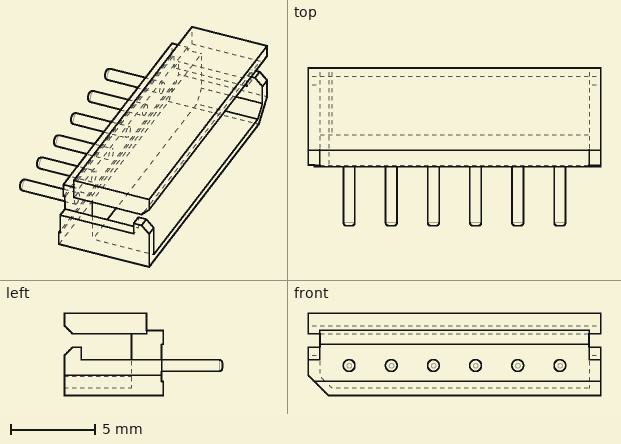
import cadquery as cq

length = 17.4
height = 4.9
pin_reach = 3.51
depth = 5.88
corner_cut = 1.22

end_width = 0.7
rail_top = 2.14
lip_top = 2.89
lip_depth = 1.01
mouth_chamfer = 0.49

bar_bottom = 3.67
bar_depth = 4.89
wall_top = 3.88
wall_depth = 1.9
pocket_floor = 0.47
pocket_corner = 0.7

relief_depth = 0.1
relief_bottom = 0.85
relief_top = 3.05

pin_count = 6
pin_pitch = 2.5
pin_diameter = 0.7
pin_height = 1.8
pin_tip_radius = 0.21


def box_between(x_range, y_range, z_range):
    """Box spanning the given (low, high) ranges."""
    sizes = [high - low for low, high in (x_range, y_range, z_range)]
    corner = (x_range[0], y_range[0], z_range[0])
    return cq.Workplane("XY").box(*sizes, centered=False).translate(corner)


def extrude_along_length(points):
    """Extrude a (Y, Z) outline over the full length."""
    return cq.Workplane("YZ").polyline(points).close().extrude(length)


def make_base():
    """Lower channel with end rails, lips and a pocket open to the mating side."""
    base = extrude_along_length([
        (0, 0),
        (depth, 0),
        (depth, lip_top - mouth_chamfer),
        (depth - mouth_chamfer, lip_top),
        (depth - lip_depth, lip_top),
        (depth - lip_depth, rail_top),
        (0, rail_top),
    ])
    pocket = box_between(
        (end_width, length - end_width), (wall_depth, depth), (pocket_floor, height)
    )
    pocket = pocket.edges("|Y and <X and <Z").chamfer(pocket_corner)
    return base.cut(pocket)


def make_top_bar():
    """Full-length bar with a lead-in chamfer on its mating edge."""
    return extrude_along_length([
        (depth - bar_depth, bar_bottom),
        (depth - mouth_chamfer, bar_bottom),
        (depth, bar_bottom + mouth_chamfer),
        (depth, height),
        (depth - bar_depth, height),
    ])


def make_pin(x):
    """Pin with a rounded tip, rooted inside the pin wall."""
    root = wall_depth / 2
    pin = (
        cq.Workplane("XZ", origin=(x, root, pin_height))
        .circle(pin_diameter / 2)
        .extrude(root + pin_reach)
    )
    return pin.faces("<Y").edges().fillet(pin_tip_radius)


pin_wall = box_between((end_width, length - end_width), (0, wall_depth), (0, wall_top))
relief = box_between((0, length), (0, relief_depth), (relief_bottom, relief_top))
corner_wedge = (
    cq.Workplane("XZ")
    .polyline([(0, 0), (corner_cut, 0), (0, corner_cut)])
    .close()
    .extrude(-depth)
)

housing = make_base().union(pin_wall).union(make_top_bar())
result = housing.cut(relief).cut(corner_wedge)

first_pin_x = (length - (pin_count - 1) * pin_pitch) / 2
for index in range(pin_count):
    result = result.union(make_pin(first_pin_x + index * pin_pitch))